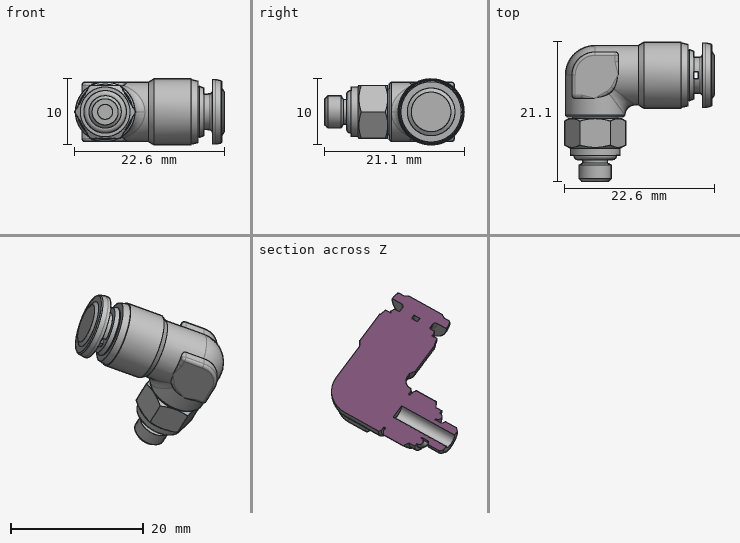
import cadquery as cq
import math

PIPE_R = 4.5
CROTCH_FILLET = 1.5
LEG_END = 6.33
LEG_CHAMFER = 0.32

PAD_HALF = 3.5
PAD_EDGE_FILLET = 0.5

SLEEVE_R = 5.0
SLEEVE_CONE_START = 6.54
SLEEVE_START = 7.35
SLEEVE_END = 12.94
CAP_TAPER_START = 13.0
CAP_END = 14.02
CAP_R = 4.89
CAP_TAPER_R = 4.64
GUIDE_CREST = 14.23
GUIDE_END = 14.9
GUIDE_ROOT_R = 3.7
GUIDE_CREST_R = 3.87
GUIDE_END_R = 3.6

COLLET_NECK_R = 2.74
COLLET_FILLET = 0.45
BUTTON_START = 16.17
BUTTON_TAPER_START = 16.67
BUTTON_TAPER_END = 17.45
BUTTON_END = 17.62
BUTTON_R = 4.89
BUTTON_TAPER_R = 4.73
BUTTON_RIM_R = 4.55
LIP_BASE_R = 3.6
LIP_END_R = 2.99
SLOT_WIDTH = 1.0
SLOT_LENGTH = 0.6

HEX_FLATS = 8.0
HEX_CORNER_R = HEX_FLATS / math.sqrt(3)
HEX_START = 6.55
HEX_END = 11.04
HEX_BEVEL_ANGLE = math.radians(30)
SWIVEL_R = 3.45
COLLAR_R = 3.75
COLLAR_END = 12.08
SEAL_OUTER_R = 3.21
SEAL_SECTION_R = 0.6
SEAL_CENTER = 12.15
UNDERCUT_R = 1.9
UNDERCUT_END = 13.25
THREAD_R = 2.45
THREAD_START = 13.57
STUD_END = 16.05
THREAD_CHAMFER = 0.48
STUD_BORE_R = 1.13

OVERALL_X = 22.62
LIP_END = OVERALL_X - HEX_CORNER_R


def stud_cylinder(radius, start, end):
    """Cylinder about the Y axis between two distances down the stud."""
    return cq.Workplane("XZ").workplane(offset=start).circle(radius).extrude(end - start)


def make_pads():
    """Square block with two opposite corners fully rounded about the elbow centre.

    The top and bottom rims are rounded, and the rounding fades out at the pipe crests.
    """
    block = (
        cq.Workplane("XY").box(2 * PAD_HALF, 2 * PAD_HALF, 2 * PIPE_R)
        .edges("|Z").edges(">(1, 1, 0) or <(1, 1, 0)").fillet(PAD_EDGE_FILLET)
        .edges("|Z").edges(">(1, -1, 0) or <(1, -1, 0)").fillet(PAD_HALF)
    )

    flare = PAD_HALF + PAD_EDGE_FILLET
    fade = math.sqrt(PIPE_R**2 - (PIPE_R - PAD_EDGE_FILLET)**2)
    arc_far = math.sqrt(PAD_HALF**2 - fade**2)
    corner = PAD_HALF * math.sqrt(0.5)
    envelope = (
        cq.Workplane("XY").workplane(offset=-PIPE_R)
        .moveTo(0, PAD_HALF)
        .lineTo(PAD_HALF, PAD_HALF)
        .lineTo(PAD_HALF, fade)
        .lineTo(flare, 0)
        .lineTo(arc_far, -fade)
        .threePointArc((corner, -corner), (fade, -arc_far))
        .lineTo(0, -flare)
        .lineTo(-fade, -PAD_HALF)
        .lineTo(-PAD_HALF, -PAD_HALF)
        .lineTo(-PAD_HALF, 0)
        .threePointArc((-corner, corner), (0, PAD_HALF))
        .close()
        .extrude(2 * PIPE_R)
        .edges("|Z").edges(">(1, 1, 0) or <(1, 1, 0)").fillet(PAD_EDGE_FILLET)
        .faces("|Z").edges().fillet(PAD_EDGE_FILLET)
    )
    return block.intersect(envelope)


def make_elbow():
    """Two pipes with a filleted inner corner and a ball on the outer corner."""
    run = cq.Workplane("YZ").circle(PIPE_R).extrude(SLEEVE_CONE_START)
    leg = stud_cylinder(PIPE_R, 0, LEG_END).faces("<Y").chamfer(LEG_CHAMFER)
    pipes = run.union(leg)
    inner_corner = cq.selectors.BoxSelector((0, -PIPE_R, -PIPE_R), (PIPE_R, 0, PIPE_R))
    pipes = pipes.edges(inner_corner).fillet(CROTCH_FILLET)
    return pipes.union(cq.Workplane("XY").sphere(PIPE_R)).union(make_pads())


def make_socket():
    """Sleeve, cap, guide ring and release collet turned about the X axis."""
    body = (
        cq.Workplane("XY")
        .moveTo(SLEEVE_CONE_START, 0)
        .lineTo(SLEEVE_CONE_START, PIPE_R)
        .lineTo(SLEEVE_START, SLEEVE_R)
        .lineTo(SLEEVE_END, SLEEVE_R)
        .lineTo(SLEEVE_END, CAP_R)
        .lineTo(CAP_TAPER_START, CAP_R)
        .lineTo(CAP_END, CAP_TAPER_R)
        .lineTo(CAP_END, GUIDE_ROOT_R)
        .lineTo(GUIDE_CREST, GUIDE_CREST_R)
        .lineTo(GUIDE_END, GUIDE_END_R)
        .lineTo(GUIDE_END, COLLET_NECK_R)
        .lineTo(BUTTON_START - COLLET_FILLET, COLLET_NECK_R)
        .radiusArc((BUTTON_START, COLLET_NECK_R + COLLET_FILLET), -COLLET_FILLET)
        .lineTo(BUTTON_START, BUTTON_R)
        .lineTo(BUTTON_TAPER_START, BUTTON_R)
        .lineTo(BUTTON_TAPER_END, BUTTON_TAPER_R)
        .lineTo(BUTTON_END, BUTTON_RIM_R)
        .lineTo(BUTTON_END, LIP_BASE_R)
        .lineTo(LIP_END, LIP_END_R)
        .lineTo(LIP_END, 0)
        .close()
        .revolve(360, (0, 0, 0), (1, 0, 0))
    )
    slot = cq.Workplane("XY").box(SLOT_LENGTH, SLOT_WIDTH, 2 * GUIDE_END_R)
    return body.cut(slot.translate((GUIDE_END + SLOT_LENGTH / 2, 0, 0)))


def make_hex():
    """Hexagon with corners on the X axis, both ends bevelled by cones."""
    rise = math.tan(HEX_BEVEL_ANGLE)
    top_drop = (HEX_CORNER_R - HEX_FLATS / 2) * rise
    bottom_drop = (HEX_CORNER_R - COLLAR_R) * rise
    prism = (
        cq.Workplane("XZ").workplane(offset=HEX_START)
        .polygon(6, 2 * HEX_CORNER_R)
        .extrude(HEX_END - HEX_START)
    )
    envelope = (
        cq.Workplane("XY")
        .moveTo(0, -HEX_START)
        .lineTo(HEX_FLATS / 2, -HEX_START)
        .lineTo(HEX_CORNER_R, -HEX_START - top_drop)
        .lineTo(HEX_CORNER_R, -HEX_END + bottom_drop)
        .lineTo(COLLAR_R, -HEX_END)
        .lineTo(0, -HEX_END)
        .close()
        .revolve(360, (0, 0, 0), (0, 1, 0))
    )
    return prism.intersect(envelope)


def make_stud():
    """Swivel neck, hexagon, collar, seal ring and threaded end with its blind bore."""
    seal_path_r = SEAL_OUTER_R - SEAL_SECTION_R
    seal = (
        cq.Workplane("XY")
        .center(seal_path_r, -SEAL_CENTER)
        .circle(SEAL_SECTION_R)
        .revolve(360, (-seal_path_r, 0, 0), (-seal_path_r, 1, 0))
    )
    thread = (
        cq.Workplane("XY")
        .moveTo(0, -UNDERCUT_END)
        .lineTo(UNDERCUT_R, -UNDERCUT_END)
        .lineTo(THREAD_R, -THREAD_START)
        .lineTo(THREAD_R, -STUD_END + THREAD_CHAMFER)
        .lineTo(THREAD_R - THREAD_CHAMFER, -STUD_END)
        .lineTo(0, -STUD_END)
        .close()
        .revolve(360, (0, 0, 0), (0, 1, 0))
    )
    return (
        stud_cylinder(SWIVEL_R, LEG_END, HEX_START)
        .union(make_hex())
        .union(stud_cylinder(COLLAR_R, HEX_END, COLLAR_END))
        .union(stud_cylinder(UNDERCUT_R, COLLAR_END, UNDERCUT_END))
        .union(seal)
        .union(thread)
        .cut(stud_cylinder(STUD_BORE_R, HEX_START, STUD_END))
    )


result = make_elbow().union(make_socket()).union(make_stud())